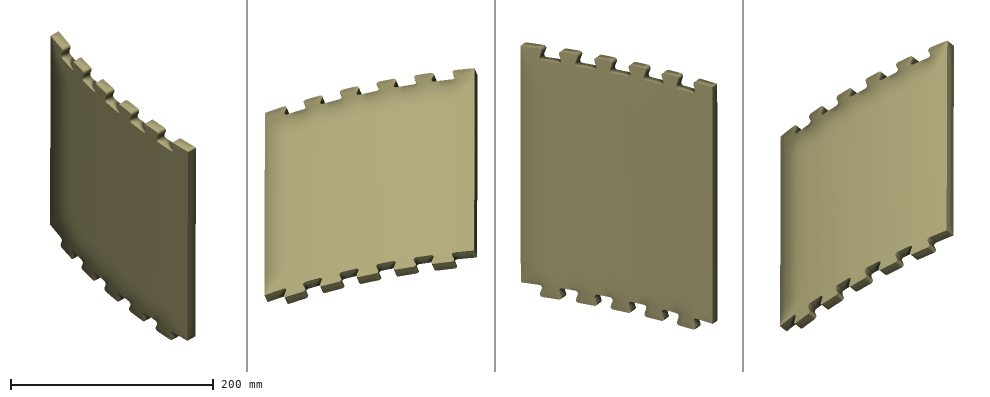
import cadquery as cq
import math

width = 216.0
height = 266.7
thickness = 10.0
inner_radius = 602.7
lean = 1.0

joint_count = 5
joint_pitch = 38.1
joint_shift = 0.8
joint_depth = 12.5
root_width = 16.0
tip_width = 25.0
corner_radius = 2.7

margin = 13.3
outer_radius = inner_radius + thickness
half_span = math.asin((width / 2 + margin) / inner_radius)


def arc_point(radius, angle):
    """Point on a plan arc whose centre lies behind the panel (+Y)."""
    return (radius * math.sin(angle), outer_radius - radius * math.cos(angle))


def curved_sheet():
    """Sheet of constant thickness, bent about an almost vertical axis and leaning forward at its foot."""
    sheet = (
        cq.Workplane("XY")
        .workplane(offset=-margin)
        .moveTo(*arc_point(outer_radius, -half_span))
        .threePointArc(arc_point(outer_radius, 0), arc_point(outer_radius, half_span))
        .lineTo(*arc_point(inner_radius, half_span))
        .threePointArc(arc_point(inner_radius, 0), arc_point(inner_radius, -half_span))
        .close()
        .extrude(height + 2 * margin)
    )
    lean_angle = math.degrees(math.atan(lean / height))
    return sheet.rotate((0, 0, 0), (1, 0, 0), -lean_angle)


def dovetails(root_height):
    """Row of dovetail prisms along Y, widening downwards from root to tip."""
    tip_height = root_height - joint_depth
    row = cq.Workplane("XZ", origin=(0, outer_radius, 0))
    for index in range(joint_count):
        center = (index - (joint_count - 1) / 2) * joint_pitch + joint_shift
        row = row.polyline([
            (center - root_width / 2, root_height),
            (center + root_width / 2, root_height),
            (center + tip_width / 2, tip_height),
            (center - tip_width / 2, tip_height),
        ]).close()
    return row.extrude(2 * outer_radius)


def front_outline():
    """Prism along Y: tabs below, matching sockets above, with rounded dovetail corners."""
    body_height = height - joint_depth
    blank = (
        cq.Workplane("XZ", origin=(0, outer_radius, joint_depth))
        .rect(width, body_height)
        .extrude(2 * outer_radius)
        .translate((0, 0, body_height / 2))
    )
    sharp = blank.union(dovetails(joint_depth)).cut(dovetails(height))
    outer_corners = sharp.edges("|Y").edges("<X or >X").vals()
    joint_corners = [edge for edge in sharp.edges("|Y").vals() if edge not in outer_corners]
    return sharp.newObject(joint_corners).fillet(corner_radius)


result = curved_sheet().intersect(front_outline())